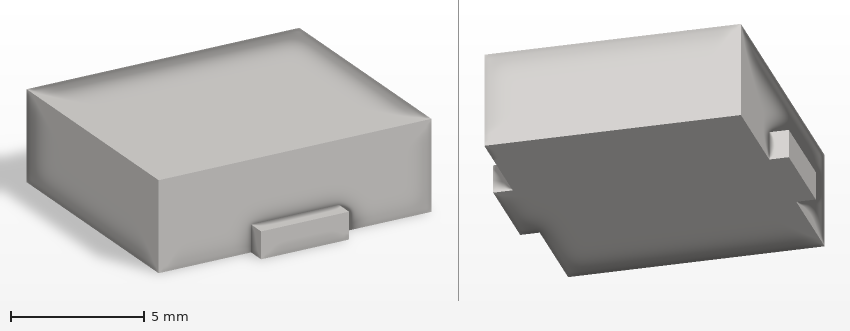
import cadquery as cq

body_length_x = 10.0
body_width_y = 11.8
body_height = 3.8

overall_length_x = 11.52
terminal_width_y = 3.8
terminal_height = 1.14


def base_block(length_x, width_y, height):
    """Block centred on the Z axis and standing on the XY plane."""
    return cq.Workplane("XY").box(length_x, width_y, height, centered=(True, True, False))


body = base_block(body_length_x, body_width_y, body_height)

terminals = base_block(overall_length_x, terminal_width_y, terminal_height)

result = body.union(terminals)